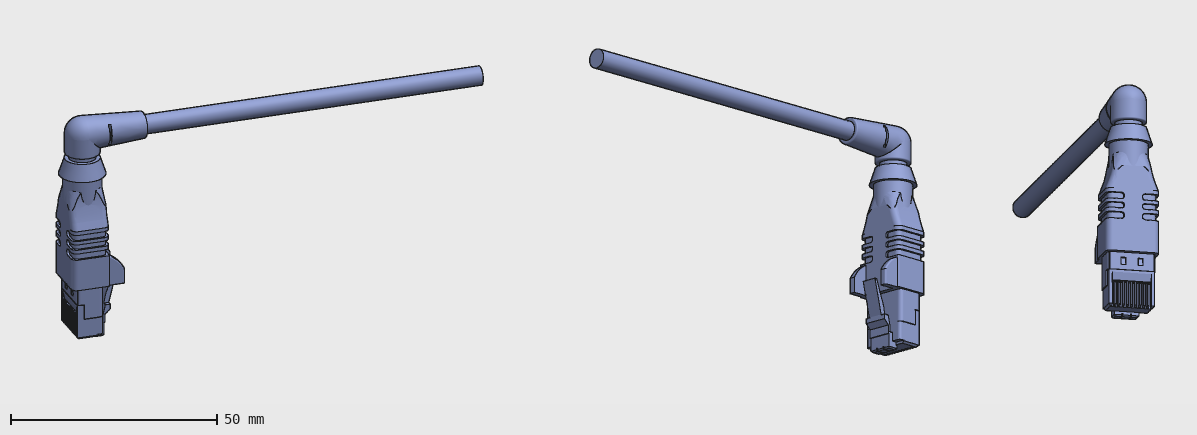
import cadquery as cq
import math

CABLE_DIAMETER = 4.8
CABLE_END_Y = 102.42
ELBOW_Z = 53.1
ELBOW_RADIUS = 8.8 / 2
SLEEVE_END_RADIUS = 6.7 / 2
SLEEVE_END_Y = 15.75
SLEEVE_BOTTOM_Z = 48.05
SLEEVE_EDGE_RADIUS = 0.35
SLEEVE_NOTCH_Y = 6.0
SLEEVE_NOTCH_WIDTH = 0.6
SLEEVE_NOTCH_INNER_X = 2.95

NECK_RADIUS = 6.7 / 2
COLLAR_TOP_Z = 46.8
COLLAR_BOTTOM_Z = 42.6
COLLAR_TOP_RADIUS = 4.4
COLLAR_RADIUS = 5.8
BARREL_RADIUS = 9.6 / 2

HOUSING_WIDTH = 13.3
HOUSING_DEPTH = 2 * BARREL_RADIUS
HOUSING_BOTTOM_Z = 14.65
SHOULDER_Z = 30.3
SHOULDER_TOP_Z = 40.0
SHOULDER_TOP_SIZE = 8.8
SHOULDER_CURVE_Z = 32.2
SHOULDER_CURVE_X = 5.9
SHOULDER_FRONT_TOP_Z = 36.1
SHOULDER_BASE_CORNER_RADIUS = 1.5
SHOULDER_TOP_CORNER_RADIUS = 3.7
HOUSING_CORNER_RADIUS = 1.5
BACK_EDGE_RADIUS = 0.4
SQUARE_BACK_TOP_Z = 22.75

GROOVE_SPANS = ((22.75, 24.4), (25.4, 26.8), (27.7, 29.3))
GROOVE_DEPTH = 0.6
GROOVE_END_X = 2.25

GUARD_INNER_X = 4.5
GUARD_OUTER_X = 6.15
GUARD_BACK_Y = 8.8
GUARD_TOP_Z = 22.3
GUARD_SHOULDER_Z = 18.5
GUARD_CURVE_MIDDLE = (7.15, 20.7)
GUARD_EDGE_RADIUS = 0.4

SHELL_WIDTH = 12.0
SHELL_DEPTH = 6.8
SHELL_CORNER_RADIUS = 1.0
SHELL_BOTTOM_Z = 6.5
SHELL_FRONT_BOTTOM_Z = 10.3
SHELL_STEP_Y = -1.6
NOSE_WIDTH = 11.4
NOSE_FRONT_Y = -3.25
NOSE_BOTTOM_Z = 1.2
NOSE_CHAMFER = 0.5
NOSE_HEEL_Y = 2.1
NOSE_HEEL_Z = 1.9
WINDOW_X = 2.15
WINDOW_WIDTH = 1.2
WINDOW_BOTTOM_Z = 11.6
WINDOW_TOP_Z = 13.4
WINDOW_DEPTH = 0.6
RAMP_WIDTH = 9.8
RAMP_TOP_Z = 9.6
RAMP_BOTTOM_Z = 7.6
RAMP_DEPTH = 0.5
CONTACT_COUNT = 10
CONTACT_PITCH = 1.02
CONTACT_SLOT_WIDTH = 0.65
CONTACT_SLOT_DEPTH = 1.2
CONTACT_SLOT_TOP_Z = 7.4

LATCH_WIDTH = 6.2
LEVER_WIDTH = 4.0
LATCH_FOOT_TOP_Z = 4.1
LATCH_FOOT_INNER_Y = 1.8
LATCH_FOOT_OUTER_Y = 4.5
LATCH_FOOT_CHAMFER = 0.35
LATCH_ROOT_OVERLAP = 0.5
LATCH_ROOT_INNER_Y = 4.25
LATCH_ROOT_OUTER_Y = 4.75
LATCH_BEND_Z = 5.7
HOOK_BOTTOM_Z = 7.0
LATCH_STEP_Z = 8.2
LATCH_STEP_INNER_Y = 4.85
LATCH_STEP_OUTER_Y = 6.15
LEVER_WAIST_Z = 10.6
LEVER_WAIST_INNER_Y = 5.3
LEVER_TOP_INNER_Y = 7.7
LEVER_TOP_OUTER_Y = 8.3
LEVER_TOP_Z = 17.0
LATCH_GAP_X = 1.1
LATCH_GAP_WIDTH = 0.25
LATCH_GAP_HEIGHT = 0.7


def box(x_span, y_span, z_span):
    """Axis-aligned box from its limits."""
    size = [high - low for low, high in (x_span, y_span, z_span)]
    corner = (x_span[0], y_span[0], z_span[0])
    return cq.Workplane("XY").box(*size, centered=False).translate(corner)


def side_profile(points, width, center_x=0.0):
    """Closed (Y, Z) outline extruded along X, symmetric about center_x."""
    outline = cq.Workplane("YZ").polyline(points).close()
    return outline.extrude(width / 2, both=True).translate((center_x, 0, 0))


def make_sleeve():
    """Domed elbow whose conical arm is tangent to the dome, plus the cable."""
    distance = math.hypot(SLEEVE_END_Y, SLEEVE_END_RADIUS)
    tangent_angle = math.acos(ELBOW_RADIUS / distance) + math.atan2(SLEEVE_END_RADIUS, SLEEVE_END_Y)
    touch_y = ELBOW_RADIUS * math.cos(tangent_angle)
    touch_radius = ELBOW_RADIUS * math.sin(tangent_angle)
    arc_middle = ELBOW_RADIUS * math.sqrt(0.5)
    half_outline = (
        cq.Workplane("XY")
        .moveTo(0, -ELBOW_RADIUS)
        .threePointArc((arc_middle, -arc_middle), (touch_radius, touch_y))
        .lineTo(SLEEVE_END_RADIUS, SLEEVE_END_Y)
        .lineTo(0, SLEEVE_END_Y)
        .close()
    )
    arm = half_outline.revolve(360, (0, 0), (0, 1))
    arm = arm.faces(">Y").edges().fillet(SLEEVE_EDGE_RADIUS)
    notch_y = (SLEEVE_NOTCH_Y - SLEEVE_NOTCH_WIDTH / 2, SLEEVE_NOTCH_Y + SLEEVE_NOTCH_WIDTH / 2)
    notch_z = (-ELBOW_RADIUS, ELBOW_RADIUS)
    for x_span in ((SLEEVE_NOTCH_INNER_X, ELBOW_RADIUS), (-ELBOW_RADIUS, -SLEEVE_NOTCH_INNER_X)):
        arm = arm.cut(box(x_span, notch_y, notch_z))
    cable = cq.Workplane("XZ").circle(CABLE_DIAMETER / 2).extrude(-CABLE_END_Y)
    stem = cq.Workplane("XY").circle(ELBOW_RADIUS).extrude(SLEEVE_BOTTOM_Z - ELBOW_Z)
    stem = stem.faces("<Z").edges().fillet(SLEEVE_EDGE_RADIUS)
    return arm.union(stem).union(cable).translate((0, 0, ELBOW_Z))


def make_collar():
    """Neck, flared collar and barrel, turned about Z."""
    half_outline = [
        (0, HOUSING_BOTTOM_Z),
        (BARREL_RADIUS, HOUSING_BOTTOM_Z),
        (BARREL_RADIUS, COLLAR_BOTTOM_Z),
        (COLLAR_RADIUS, COLLAR_BOTTOM_Z),
        (COLLAR_TOP_RADIUS, COLLAR_TOP_Z),
        (NECK_RADIUS, COLLAR_TOP_Z),
        (NECK_RADIUS, ELBOW_Z),
        (0, ELBOW_Z),
    ]
    return cq.Workplane("XZ").polyline(half_outline).close().revolve(360, (0, 0), (0, 1))


def rounded_block(width, depth, bottom_z, top_z, radius):
    """Upright block centred on Z with rounded vertical edges."""
    block = cq.Workplane("XY").workplane(offset=bottom_z).rect(width, depth).extrude(top_z - bottom_z)
    return block.edges("|Z").fillet(radius)


def make_shoulder():
    """Housing top: a rounded pyramid trimmed by a wedge with curved flanks and a flat front and back."""
    height = SHOULDER_TOP_Z - SHOULDER_Z
    rise = (SHOULDER_FRONT_TOP_Z - SHOULDER_Z) / height
    base_depth = (HOUSING_DEPTH - rise * SHOULDER_TOP_SIZE) / (1 - rise)
    base = cq.Sketch().rect(HOUSING_WIDTH, base_depth).vertices().fillet(SHOULDER_BASE_CORNER_RADIUS)
    top = cq.Sketch().rect(SHOULDER_TOP_SIZE, SHOULDER_TOP_SIZE).vertices().fillet(SHOULDER_TOP_CORNER_RADIUS)
    pyramid = cq.Workplane("XY").workplane(offset=SHOULDER_Z).placeSketch(
        base, top.moved(cq.Location(cq.Vector(0, 0, height)))
    ).loft()
    top_x = SHOULDER_TOP_SIZE / 2
    outline = (
        cq.Workplane("XZ")
        .moveTo(HOUSING_WIDTH / 2, SHOULDER_Z)
        .lineTo(SHOULDER_CURVE_X, SHOULDER_CURVE_Z)
        .tangentArcPoint((top_x, SHOULDER_TOP_Z), relative=False)
        .lineTo(0, SHOULDER_TOP_Z)
        .lineTo(0, SHOULDER_Z)
        .close()
    )
    wedge = outline.extrude(HOUSING_DEPTH / 2, both=True)
    slanted_edges = wedge.faces("<Y or >Y").edges("(not |X) and (not <X)")
    wedge = slanted_edges.fillet(HOUSING_CORNER_RADIUS)
    wedge = wedge.union(wedge.mirror("YZ"))
    return wedge.intersect(pyramid)


def make_grooves():
    """Grip grooves wrapping both sides, with rounded ends on the front and back."""
    core = rounded_block(
        HOUSING_WIDTH - 2 * GROOVE_DEPTH,
        HOUSING_DEPTH - 2 * GROOVE_DEPTH,
        HOUSING_BOTTOM_Z,
        SHOULDER_Z,
        HOUSING_CORNER_RADIUS - GROOVE_DEPTH / 2,
    )
    cutters = cq.Workplane("XY")
    for low_z, high_z in GROOVE_SPANS:
        length = HOUSING_WIDTH - 2 * GROOVE_END_X
        for side in (-1, 1):
            center_x = side * (GROOVE_END_X + length / 2)
            slot = cq.Workplane("XZ").center(center_x, (low_z + high_z) / 2)
            slot = slot.slot2D(length, high_z - low_z).extrude(HOUSING_DEPTH, both=True)
            cutters = cutters.add(slot)
    return cutters.combine().cut(core)


def make_housing():
    """Moulded housing with rounded corners, squarer at the back behind the guards."""
    block = rounded_block(
        HOUSING_WIDTH, HOUSING_DEPTH, HOUSING_BOTTOM_Z, SHOULDER_Z, HOUSING_CORNER_RADIUS
    )
    half_width = HOUSING_WIDTH / 2
    back = box(
        (-half_width, half_width), (0, HOUSING_DEPTH / 2), (HOUSING_BOTTOM_Z, SQUARE_BACK_TOP_Z)
    )
    back = back.edges("|Z and >Y").fillet(BACK_EDGE_RADIUS)
    return block.union(back).union(make_shoulder()).cut(make_grooves())


def make_guard(side):
    """Curved blade standing off the back of the housing beside the latch."""
    back_y = HOUSING_DEPTH / 2
    blade = (
        cq.Workplane("YZ")
        .moveTo(0, HOUSING_BOTTOM_Z)
        .lineTo(GUARD_BACK_Y, HOUSING_BOTTOM_Z)
        .lineTo(GUARD_BACK_Y, GUARD_SHOULDER_Z)
        .threePointArc(GUARD_CURVE_MIDDLE, (back_y, GUARD_TOP_Z))
        .lineTo(0, GUARD_TOP_Z)
        .close()
        .extrude(GUARD_OUTER_X - GUARD_INNER_X)
        .translate((GUARD_INNER_X, 0, 0))
    )
    blade = blade.faces(">X").edges("(not |Y) and (not <Y)").fillet(GUARD_EDGE_RADIUS)
    return blade if side > 0 else blade.mirror("YZ")


def make_shell():
    """Metal shell of the plug, longer at the back than at the front."""
    shell = rounded_block(
        SHELL_WIDTH, SHELL_DEPTH, SHELL_BOTTOM_Z, HOUSING_BOTTOM_Z, SHELL_CORNER_RADIUS
    )
    cutaway = box(
        (-SHELL_WIDTH, SHELL_WIDTH), (-SHELL_DEPTH, SHELL_STEP_Y), (SHELL_BOTTOM_Z, SHELL_FRONT_BOTTOM_Z)
    )
    return shell.cut(cutaway)


def make_nose():
    """Plastic plug nose with a ramp and a row of contact slots in its front."""
    half_width = NOSE_WIDTH / 2
    nose = box(
        (-half_width, half_width), (NOSE_FRONT_Y, SHELL_DEPTH / 2), (NOSE_BOTTOM_Z, HOUSING_BOTTOM_Z)
    )
    nose = nose.faces("<Z").edges("<Y or <X or >X").chamfer(NOSE_CHAMFER)
    nose = nose.edges("|Z and >Y").fillet(SHELL_CORNER_RADIUS - (SHELL_WIDTH - NOSE_WIDTH) / 2)
    heel = box((-half_width, half_width), (NOSE_HEEL_Y, SHELL_DEPTH / 2), (NOSE_BOTTOM_Z, NOSE_HEEL_Z))
    nose = nose.cut(heel)
    ramp_outline = [
        (NOSE_FRONT_Y, RAMP_TOP_Z),
        (NOSE_FRONT_Y, RAMP_BOTTOM_Z),
        (NOSE_FRONT_Y + RAMP_DEPTH, RAMP_BOTTOM_Z),
    ]
    nose = nose.cut(side_profile(ramp_outline, RAMP_WIDTH))
    for index in range(CONTACT_COUNT):
        center_x = (index - (CONTACT_COUNT - 1) / 2) * CONTACT_PITCH
        slot = box(
            (center_x - CONTACT_SLOT_WIDTH / 2, center_x + CONTACT_SLOT_WIDTH / 2),
            (NOSE_FRONT_Y, NOSE_FRONT_Y + CONTACT_SLOT_DEPTH),
            (NOSE_BOTTOM_Z, CONTACT_SLOT_TOP_Z),
        )
        nose = nose.cut(slot)
    return nose


def make_plug():
    """Shell and nose together, with two windows whose floors rise towards their lower ends."""
    plug = make_shell().union(make_nose())
    front_y = -SHELL_DEPTH / 2
    window_outline = [
        (front_y, WINDOW_BOTTOM_Z),
        (front_y, WINDOW_TOP_Z),
        (front_y + WINDOW_DEPTH, WINDOW_TOP_Z),
    ]
    for center_x in (-WINDOW_X, WINDOW_X):
        plug = plug.cut(side_profile(window_outline, WINDOW_WIDTH, center_x))
    return plug


def make_latch():
    """Spring latch: foot under the nose, hooked middle and a narrower lever."""
    half_width = LATCH_WIDTH / 2
    foot = box((-half_width, half_width), (LATCH_FOOT_INNER_Y, LATCH_FOOT_OUTER_Y), (0, LATCH_FOOT_TOP_Z))
    foot = foot.faces("<Z").edges().chamfer(LATCH_FOOT_CHAMFER)
    for center_x in (-LATCH_GAP_X, LATCH_GAP_X):
        gap = box(
            (center_x - LATCH_GAP_WIDTH / 2, center_x + LATCH_GAP_WIDTH / 2),
            (LATCH_FOOT_INNER_Y, LATCH_FOOT_OUTER_Y),
            (0, LATCH_GAP_HEIGHT),
        )
        foot = foot.cut(gap)
    hook_outline = [
        (LATCH_ROOT_INNER_Y, LATCH_FOOT_TOP_Z - LATCH_ROOT_OVERLAP),
        (LATCH_ROOT_OUTER_Y, LATCH_FOOT_TOP_Z - LATCH_ROOT_OVERLAP),
        (LATCH_ROOT_OUTER_Y, LATCH_BEND_Z),
        (LATCH_STEP_OUTER_Y, HOOK_BOTTOM_Z),
        (LATCH_STEP_OUTER_Y, LATCH_STEP_Z),
        (LATCH_STEP_INNER_Y, LATCH_STEP_Z),
        (LATCH_ROOT_INNER_Y, LATCH_BEND_Z),
    ]
    lever_outline = [
        (LATCH_STEP_INNER_Y, LATCH_STEP_Z),
        (LATCH_STEP_OUTER_Y, LATCH_STEP_Z),
        (LEVER_TOP_OUTER_Y, LEVER_TOP_Z),
        (LEVER_TOP_INNER_Y, LEVER_TOP_Z),
        (LEVER_WAIST_INNER_Y, LEVER_WAIST_Z),
    ]
    latch = foot.union(side_profile(hook_outline, LATCH_WIDTH))
    return latch.union(side_profile(lever_outline, LEVER_WIDTH))


part = make_collar().union(make_housing()).union(make_sleeve())
for guard_side in (-1, 1):
    part = part.union(make_guard(guard_side))
result = part.union(make_plug()).union(make_latch())